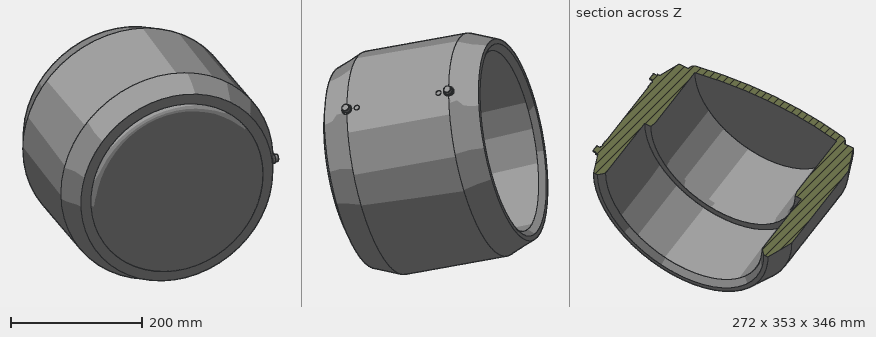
import cadquery as cq
import math

sleeve_length = 249.5
outer_radius = 346 / 2
bore_radius = 280.0 / 2
rim_radius = 156.5
taper_length = 42.5
lead_in_radius = 149.0
lead_in_length = 9.2

overall_length = 272.0
cap_mouth_x = 123.0
cap_mouth_radius = 258.0 / 2
cap_inner_radius = 126.7
cap_mouth_taper_length = 9.2
cap_thickness = bore_radius - cap_inner_radius
knuckle_radius = 10.2

terminal_top = 180.0
terminal_diameter = 12.0
terminal_chamfer = 0.7
flange_diameter = 16.0
flange_top = 174.0
indicator_diameter = 8.0
indicator_top = 173.5
indicator_spacing = 16.2
root_depth = 162.5


def point_on_arc(center_x, center_radius, arc_radius, angle):
    """Point at an angle from the X axis, measured about the arc center."""
    return (
        center_x + arc_radius * math.cos(angle),
        center_radius + arc_radius * math.sin(angle),
    )


def revolve_about_x(profile):
    """Solid of revolution from an open half-section, closed first."""
    return profile.close().revolve(360, (0, 0, 0), (1, 0, 0))


def make_sleeve():
    profile = cq.Workplane("XY").polyline([
        (0, lead_in_radius),
        (0, rim_radius),
        (taper_length, outer_radius),
        (sleeve_length - taper_length, outer_radius),
        (sleeve_length, rim_radius),
        (sleeve_length, bore_radius),
        (lead_in_length, bore_radius),
    ])
    return revolve_about_x(profile)


def make_cap():
    cap_rise = overall_length - sleeve_length
    knuckle_center_radius = bore_radius - knuckle_radius
    dome_radius = (cap_rise**2 + knuckle_center_radius**2 - knuckle_radius**2) / (
        2 * (cap_rise - knuckle_radius)
    )
    dome_center_x = overall_length - dome_radius
    tangent_angle = math.asin(knuckle_center_radius / (dome_radius - knuckle_radius))
    knuckle_middle_angle = (tangent_angle + math.pi / 2) / 2

    inner_dome_radius = dome_radius - cap_thickness
    inner_edge_angle = math.asin(cap_inner_radius / inner_dome_radius)

    def knuckle_point(angle):
        return point_on_arc(sleeve_length, knuckle_center_radius, knuckle_radius, angle)

    def outer_dome_point(angle):
        return point_on_arc(dome_center_x, 0, dome_radius, angle)

    def inner_dome_point(angle):
        return point_on_arc(dome_center_x, 0, inner_dome_radius, angle)

    profile = (
        cq.Workplane("XY")
        .moveTo(cap_mouth_x, cap_mouth_radius)
        .lineTo(cap_mouth_x, bore_radius)
        .lineTo(sleeve_length, bore_radius)
        .threePointArc(knuckle_point(knuckle_middle_angle), knuckle_point(tangent_angle))
        .threePointArc(outer_dome_point(tangent_angle / 2), outer_dome_point(0))
        .lineTo(*inner_dome_point(0))
        .threePointArc(inner_dome_point(inner_edge_angle / 2), inner_dome_point(inner_edge_angle))
        .lineTo(cap_mouth_x + cap_mouth_taper_length, cap_inner_radius)
    )
    return revolve_about_x(profile)


def radial_pin(x, diameter, top):
    """Round pin along Y, rooted inside the sleeve wall."""
    pin = cq.Workplane("XZ", origin=(x, top, 0)).circle(diameter / 2)
    return pin.extrude(top - root_depth)


result = make_sleeve().union(make_cap())

for terminal_x, inward in ((taper_length, 1), (sleeve_length - taper_length, -1)):
    terminal = radial_pin(terminal_x, terminal_diameter, terminal_top)
    terminal = terminal.faces(">Y").chamfer(terminal_chamfer)
    flange = radial_pin(terminal_x, flange_diameter, flange_top)
    indicator_x = terminal_x + inward * indicator_spacing
    indicator = radial_pin(indicator_x, indicator_diameter, indicator_top)
    result = result.union(flange).union(terminal).union(indicator)